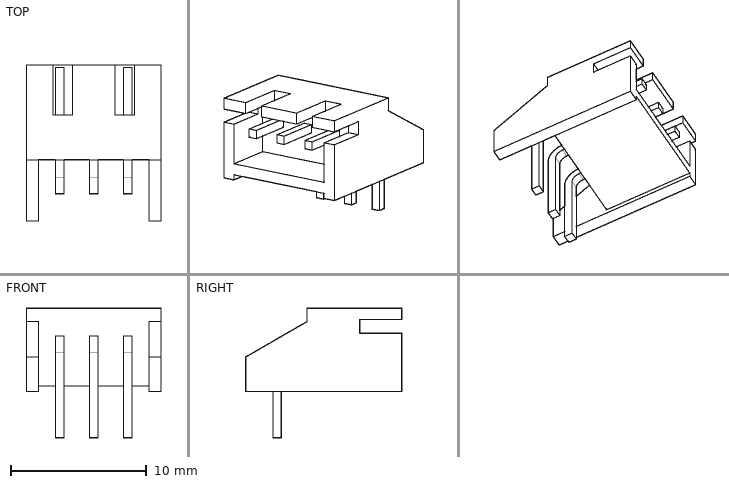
import cadquery as cq
import math


pin_count = 3
pin_pitch = 2.5
pin_size = 0.64
pin_top_z = 4.1
tail_depth = 3.4
bend_outer_radius = 1.22
bend_inner_radius = bend_outer_radius - pin_size
contact_recess = 0.2

housing_width = 9.9
housing_height = 6.15
housing_length = 11.5
body_length = 7.0
standoff = 0.4
wall = 0.9
roof = 0.85
floor = roof
wing_shoulder_z = 5.15
wing_end_z = 2.55
wing_overhang = 2.0

cavity_depth = 3.7
side_slot_depth = 3.1
side_slot_height = 1.0
key_slot_width = 1.43
key_slot_spacing = 4.56

half_pin = pin_size / 2
wing_end_y = -half_pin - wing_overhang
mating_y = wing_end_y + housing_length
body_back_y = mating_y - body_length
cavity_back_y = mating_y - cavity_depth
cavity_top_z = housing_height - roof
cavity_floor_z = standoff + floor
contact_tip_y = mating_y - contact_recess
pin_xs = [(i - (pin_count - 1) / 2) * pin_pitch for i in range(pin_count)]


def block(width, y_min, y_max, z_min, z_max, center_x=0):
    """Rectangular block centred on center_x."""
    return (
        cq.Workplane("XY")
        .box(width, y_max - y_min, z_max - z_min, centered=(True, False, False))
        .translate((center_x, y_min, z_min))
    )


def make_housing():
    profile = [
        (wing_end_y, 0),
        (mating_y, 0),
        (mating_y, housing_height),
        (body_back_y, housing_height),
        (body_back_y, wing_shoulder_z),
        (wing_end_y, wing_end_z),
    ]
    housing = cq.Workplane("YZ").polyline(profile).close().extrude(housing_width / 2, both=True)

    inner_width = housing_width - 2 * wall
    housing = housing.cut(block(inner_width, wing_end_y, body_back_y, 0, housing_height))
    housing = housing.cut(block(inner_width, body_back_y, mating_y, 0, standoff))

    housing = housing.cut(block(inner_width, cavity_back_y, mating_y, cavity_floor_z, cavity_top_z))

    side_slot_back_y = mating_y - side_slot_depth
    side_slot_bottom_z = cavity_top_z - side_slot_height
    housing = housing.cut(
        block(housing_width, side_slot_back_y, mating_y, side_slot_bottom_z, cavity_top_z)
    )

    for side in (-1, 1):
        slot_x = side * key_slot_spacing / 2
        housing = housing.cut(
            block(key_slot_width, cavity_back_y, mating_y, cavity_top_z, housing_height, slot_x)
        )
    return housing


def make_contact(x):
    """Straight contact standing on the back wall of the cavity."""
    return block(pin_size, cavity_back_y, contact_tip_y, pin_top_z - pin_size, pin_top_z, x)


def make_tail(x):
    """Solder tail from the back of the body, bent down through the board."""
    bend_y = bend_outer_radius - half_pin
    bend_z = pin_top_z - bend_outer_radius
    diagonal = math.sqrt(0.5)
    outer_mid = (bend_y - bend_outer_radius * diagonal, bend_z + bend_outer_radius * diagonal)
    inner_mid = (bend_y - bend_inner_radius * diagonal, bend_z + bend_inner_radius * diagonal)
    return (
        cq.Workplane("YZ")
        .moveTo(body_back_y, pin_top_z)
        .lineTo(bend_y, pin_top_z)
        .threePointArc(outer_mid, (-half_pin, bend_z))
        .lineTo(-half_pin, -tail_depth)
        .lineTo(half_pin, -tail_depth)
        .lineTo(half_pin, bend_z)
        .threePointArc(inner_mid, (bend_y, pin_top_z - pin_size))
        .lineTo(body_back_y, pin_top_z - pin_size)
        .close()
        .extrude(half_pin, both=True)
        .translate((x, 0, 0))
    )


housing = make_housing()
contacts = [make_contact(x) for x in pin_xs]
tails = [make_tail(x) for x in pin_xs]

result = cq.Compound.makeCompound([body.val() for body in [housing, *contacts, *tails]])